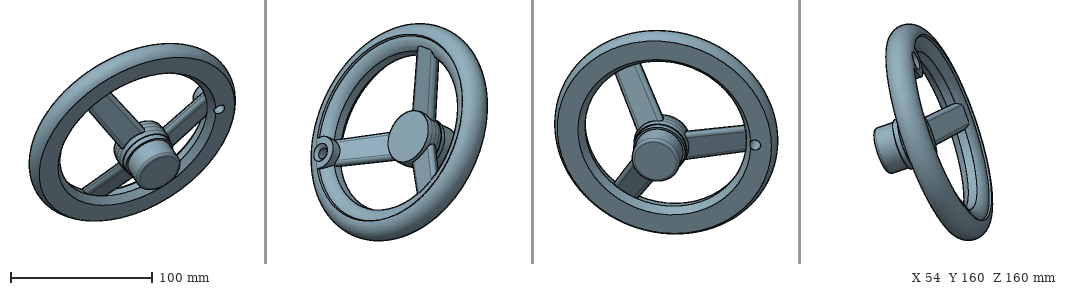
import cadquery as cq
import math


wheel_radius = 80.0
crown_radius = 69.3
rim_round = wheel_radius - crown_radius
rim_width = 18.2
step_depth = 1.5
step_draft = 0.8
inner_round_end_x = 6.7
inner_round_end_radius = 58.9
opening_radius = 57.9
inner_round_bulge = 1.5
back_chamfer_start_x = 13.0
back_chamfer_radius = 62.0

hub_length = 54.0
flange_front_x = 20.2
flange_back_x = 34.2
flange_max_radius = 19.8
flange_end_radius = 19.0
flange_bands = 4
collar_radius = 37.0 / 2
collar_back_x = 38.2
sleeve_radius = 34.0 / 2
sleeve_fillet = 2.0

spoke_count = 3
spoke_angle = 24.5
spoke_thickness = 6.7
spoke_inner_width = 21.8
spoke_outer_width = 19.8
spoke_fillet = 3.0
spoke_inner_radius = 8.0
spoke_outer_radius = 62.0
spoke_back_radius = 45.3

boss_centre_radius = 65.1
boss_radius = 12.0
boss_depth = 10.4
boss_corner_depth = 2.4
boss_fillet = 1.0
handle_hole_diameter = 8.0
countersink_diameter = 13.3


def make_rim():
    """Rim section, revolved about the X axis."""
    back_rise = math.sqrt(rim_round**2 - (rim_width - rim_round) ** 2)
    inner_start_radius = crown_radius - step_draft
    section = (
        cq.Workplane("XY")
        .moveTo(step_depth, inner_start_radius)
        .lineTo(0, crown_radius)
        .threePointArc((rim_round, wheel_radius), (rim_width, crown_radius + back_rise))
        .lineTo(rim_width, back_chamfer_radius)
        .lineTo(back_chamfer_start_x, opening_radius)
        .lineTo(inner_round_end_x, inner_round_end_radius)
        .sagittaArc((step_depth, inner_start_radius), inner_round_bulge)
        .close()
    )
    return section.revolve(360, (0, 0, 0), (1, 0, 0))


def make_hub():
    """Barrel-shaped flange of conical bands, then a collar and the sleeve."""
    half_length = (flange_back_x - flange_front_x) / 2
    bulge = flange_max_radius - flange_end_radius
    barrel = []
    for i in range(flange_bands + 1):
        offset = 2 * i / flange_bands - 1
        x = flange_front_x + half_length * (1 + offset)
        barrel.append((x, flange_max_radius - bulge * offset**2))
    outline = (
        [(flange_front_x, 0)]
        + barrel
        + [
            (flange_back_x, collar_radius),
            (collar_back_x, collar_radius),
            (collar_back_x, sleeve_radius),
            (hub_length, sleeve_radius),
            (hub_length, 0),
        ]
    )
    hub = cq.Workplane("XY").polyline(outline).close().revolve(360, (0, 0, 0), (1, 0, 0))
    return hub.faces(">X").edges().fillet(sleeve_fillet)


def make_spoke():
    """Spoke along +Y with rounded sides, leaning back towards the hub."""
    slope = math.tan(math.radians(spoke_angle))
    thickness_along_x = spoke_thickness / math.cos(math.radians(spoke_angle))
    inner_back_x = rim_width + slope * (spoke_back_radius - spoke_inner_radius)
    outer_back_x = rim_width + slope * (spoke_back_radius - spoke_outer_radius)
    outline = [
        (inner_back_x, spoke_inner_radius),
        (outer_back_x, spoke_outer_radius),
        (outer_back_x - thickness_along_x, spoke_outer_radius),
        (inner_back_x - thickness_along_x, spoke_inner_radius),
    ]
    side_outline = [
        (spoke_inner_radius, -spoke_inner_width / 2),
        (spoke_outer_radius, -spoke_outer_width / 2),
        (spoke_outer_radius, spoke_outer_width / 2),
        (spoke_inner_radius, spoke_inner_width / 2),
    ]
    leaning_slab = cq.Workplane("XY").polyline(outline).close().extrude(spoke_inner_width / 2, both=True)
    tapered_slab = cq.Workplane("YZ").polyline(side_outline).close().extrude(hub_length)
    long_edges = leaning_slab.intersect(tapered_slab).edges("not(|X or |Z)")
    return long_edges.fillet(spoke_fillet)


def make_boss():
    """Flat handle boss level with the crown and kept inside the crown circle."""
    boss = (
        cq.Workplane("YZ").center(boss_centre_radius, 0).circle(boss_radius).extrude(boss_depth)
    )
    crown_disc = cq.Workplane("YZ").circle(crown_radius).extrude(boss_depth)
    return boss.intersect(crown_disc)


def make_handle_hole():
    """Through hole with a 45 degree countersink in the boss face."""
    hole_radius = handle_hole_diameter / 2
    sink_radius = countersink_diameter / 2
    outline = [
        (0, 0),
        (0, sink_radius),
        (sink_radius - hole_radius, hole_radius),
        (rim_width, hole_radius),
        (rim_width, 0),
    ]
    hole = cq.Workplane("XY").polyline(outline).close().revolve(360, (0, 0, 0), (1, 0, 0))
    return hole.translate((0, boss_centre_radius, 0))


def fillet_boss_corners(body):
    """Round the two corners between the boss wall and the step of the rim."""
    for side in (-1, 1):
        corner_box = cq.selectors.BoxSelector(
            (0, crown_radius - boss_corner_depth, 0),
            (step_depth, crown_radius, side * (boss_radius + boss_corner_depth)),
        )
        body = body.edges(corner_box).fillet(boss_fillet)
    return body


result = fillet_boss_corners(make_rim().union(make_boss()))
result = result.union(make_hub())
for i in range(spoke_count):
    result = result.union(make_spoke().rotate((0, 0, 0), (1, 0, 0), i * 360 / spoke_count))
result = result.cut(make_handle_hole())